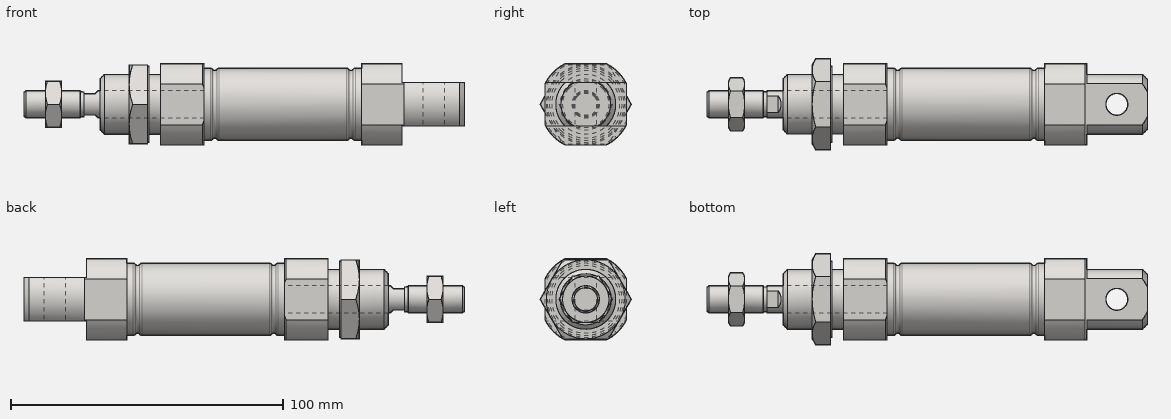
import cadquery as cq
import math


NUT_CHAMFER_ANGLE = 30
HEX_COSINE = math.cos(math.radians(30))

ROD_D = 10.0
TIP_CHAMFER = 0.73
THREAD_END = 20.9
THREAD_END_CHAMFER = 0.3
UNDERCUT_D = 9.2
UNDERCUT_END = 22.2
WRENCH_WIDTH = 8.0
WRENCH_FLAT_END = 26.2

LOCK_NUT_X = 8.0
LOCK_NUT_LENGTH = 6.0
LOCK_NUT_WIDTH = 17.0

NECK_X = 28.0
NECK_D = 22.0
NECK_CHAMFER = 1.6

MOUNT_NUT_X = 38.7
MOUNT_NUT_LENGTH = 7.3
MOUNT_NUT_CORNERS = 33.5
MOUNT_NUT_WIDTH = MOUNT_NUT_CORNERS * HEX_COSINE
WASHER_FACE_D = 28.0
WASHER_FACE_LENGTH = 0.5

CAP_WIDTH = 30.0
CAP_CORNER_D = 33.5
CAP_CORNER_CHAMFER = 0.6
FRONT_CAP_X = 50.2
FRONT_CAP_END = 66.3
REAR_CAP_X = 124.1
REAR_CAP_END = 139.6

TUBE_D = 26.5
GROOVE_FLOOR_D = 25.0
GROOVE_FROM_CAP = 3.9
GROOVE_RADIUS = 1.0

ROD_END = FRONT_CAP_END

EYE_END = 162.0
EYE_D = NECK_D
EYE_THICKNESS = 16.0
EYE_CHAMFER = 2.0
EYE_FLAT_X = 139.0
EYE_HOLE_D = 8.0
EYE_HOLE_X = 150.7


def cylinder(diameter, x_start, x_end):
    """Solid cylinder on the X axis."""
    return cq.Workplane("YZ", origin=(x_start, 0, 0)).circle(diameter / 2).extrude(x_end - x_start)


def block(x_start, x_end, width, z_start, z_end):
    """Rectangular block centred on Y."""
    size = (x_end - x_start, width, z_end - z_start)
    return cq.Workplane("XY").box(*size, centered=(False, True, False)).translate((x_start, 0, z_start))


def hex_bar(across_flats, x_start, x_end):
    """Hexagonal bar on the X axis with corners at +Y and -Y."""
    across_corners = across_flats / HEX_COSINE
    return cq.Workplane("YZ", origin=(x_start, 0, 0)).polygon(6, across_corners).extrude(x_end - x_start)


def hex_nut(across_flats, x_start, x_end, both_ends):
    """Hexagon with corners chamfered back to its across-flats circle at the front, or at both ends."""
    face_r = across_flats / 2
    corner_r = face_r / HEX_COSINE
    depth = (corner_r - face_r) * math.tan(math.radians(NUT_CHAMFER_ANGLE))
    blank = cq.Workplane("XY").moveTo(x_start, 0).lineTo(x_start, face_r).lineTo(x_start + depth, corner_r)
    if both_ends:
        blank = blank.lineTo(x_end - depth, corner_r).lineTo(x_end, face_r)
    else:
        blank = blank.lineTo(x_end, corner_r)
    blank = blank.lineTo(x_end, 0).close().revolve(360, (0, 0, 0), (1, 0, 0))
    return hex_bar(across_flats, x_start, x_end).intersect(blank)


def lock_nut():
    return hex_nut(LOCK_NUT_WIDTH, LOCK_NUT_X, LOCK_NUT_X + LOCK_NUT_LENGTH, both_ends=True)


def wrench_flat_cutter():
    """Cutter for the top wrench flat, whose rear end runs out at 45 degrees."""
    flat_z = WRENCH_WIDTH / 2
    rise = ROD_D / 2
    return (
        cq.Workplane("XZ")
        .moveTo(UNDERCUT_END, flat_z)
        .lineTo(WRENCH_FLAT_END, flat_z)
        .lineTo(WRENCH_FLAT_END + rise, flat_z + rise)
        .lineTo(UNDERCUT_END, flat_z + rise)
        .close()
        .extrude(ROD_D / 2, both=True)
    )


def make_piston_rod():
    thread = cylinder(ROD_D, 0, THREAD_END)
    thread = thread.faces("<X").chamfer(TIP_CHAMFER)
    thread = thread.faces(">X").chamfer(THREAD_END_CHAMFER)
    undercut = cylinder(UNDERCUT_D, THREAD_END, UNDERCUT_END)
    shank = cylinder(ROD_D, UNDERCUT_END, ROD_END)
    top_flat = wrench_flat_cutter()
    shank = shank.cut(top_flat).cut(top_flat.mirror("XY"))
    return thread.union(undercut).union(shank).union(lock_nut())


def mounting_nut():
    washer_x = MOUNT_NUT_X + MOUNT_NUT_LENGTH - WASHER_FACE_LENGTH
    nut = hex_nut(MOUNT_NUT_WIDTH, MOUNT_NUT_X, washer_x, both_ends=False)
    return nut.union(cylinder(WASHER_FACE_D, washer_x, washer_x + WASHER_FACE_LENGTH))


def end_cap(x_start, x_end, rear_chamfer=0):
    """Square bar with rounded corners; the corners may be chamfered at the rear."""
    square = block(x_start, x_end, CAP_WIDTH, -CAP_WIDTH / 2, CAP_WIDTH / 2)
    blank = cylinder(CAP_CORNER_D, x_start, x_end)
    if rear_chamfer:
        blank = blank.faces(">X").chamfer(rear_chamfer)
    return square.intersect(blank)


def groove_cutter(x_centre):
    """Ring with a round floor blending through equal round shoulders into the tube."""
    tube_r = TUBE_D / 2
    floor_r = GROOVE_FLOOR_D / 2
    depth = tube_r - floor_r
    sweep = math.acos(1 - depth / (2 * GROOVE_RADIUS))
    blend_x = GROOVE_RADIUS * math.sin(sweep)
    blend_r = floor_r + depth / 2
    mid_x = GROOVE_RADIUS * math.sin(sweep / 2)
    mid_rise = GROOVE_RADIUS * (1 - math.cos(sweep / 2))
    shoulder_x = 2 * blend_x
    return (
        cq.Workplane("XY")
        .moveTo(x_centre - shoulder_x, tube_r)
        .threePointArc((x_centre - shoulder_x + mid_x, tube_r - mid_rise), (x_centre - blend_x, blend_r))
        .threePointArc((x_centre, floor_r), (x_centre + blend_x, blend_r))
        .threePointArc((x_centre + shoulder_x - mid_x, tube_r - mid_rise), (x_centre + shoulder_x, tube_r))
        .close()
        .revolve(360, (0, 0, 0), (1, 0, 0))
    )


def tube():
    body = cylinder(TUBE_D, FRONT_CAP_END, REAR_CAP_X)
    for x_centre in (FRONT_CAP_END + GROOVE_FROM_CAP, REAR_CAP_X - GROOVE_FROM_CAP):
        body = body.cut(groove_cutter(x_centre))
    return body


def rear_cap_with_eye():
    """Rear cap and eye, milled flat above and below, with a cross hole along Z."""
    eye = cylinder(EYE_D, REAR_CAP_END, EYE_END).faces(">X").chamfer(EYE_CHAMFER)
    body = end_cap(REAR_CAP_X, REAR_CAP_END).union(eye)
    mill = block(EYE_FLAT_X, EYE_END, CAP_CORNER_D, EYE_THICKNESS / 2, CAP_WIDTH)
    body = body.cut(mill).cut(mill.mirror("XY"))
    hole = cq.Workplane("XY").center(EYE_HOLE_X, 0).circle(EYE_HOLE_D / 2).extrude(EYE_THICKNESS, both=True)
    return body.cut(hole)


def make_housing():
    neck = cylinder(NECK_D, NECK_X, FRONT_CAP_X).faces("<X").chamfer(NECK_CHAMFER)
    front_cap = end_cap(FRONT_CAP_X, FRONT_CAP_END, CAP_CORNER_CHAMFER)
    body = neck.union(mounting_nut()).union(front_cap).union(tube()).union(rear_cap_with_eye())
    return body.cut(cylinder(ROD_D, NECK_X, ROD_END))


piston_rod = make_piston_rod()
housing = make_housing()

result = cq.Compound.makeCompound([piston_rod.solids().val(), housing.solids().val()])